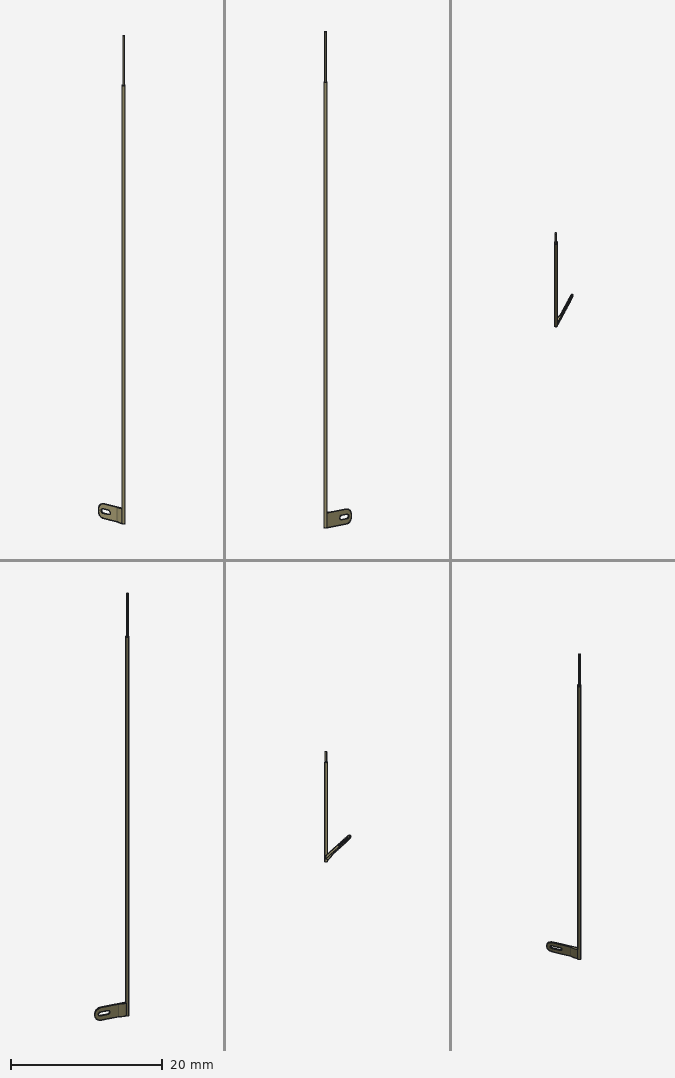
import cadquery as cq
import math

total_height = 67.0
rod_diameter = 0.42
rod_height = 60.15
tip_diameter = 0.255
tip_offset = 0.04
overall_width = 4.7
tab_height = 2.0
tab_corner_radius = 0.9
tab_back_y = 0.2
tab_front_y = 0.03
neck_length = 1.0
neck_front_y = -0.12
slot_length = 1.6
slot_height = 0.6
slot_end_margin = 0.5

rod_radius = rod_diameter / 2
tab_left = rod_radius - overall_width
neck_left = -rod_radius - neck_length
slot_center_x = tab_left + slot_end_margin + slot_length / 2


def make_rod():
    """Round rod with a thinner round tip set slightly towards +X."""
    shank = cq.Workplane("XY").circle(rod_radius).extrude(rod_height)
    tip = (
        cq.Workplane("XY", origin=(tip_offset, 0, rod_height))
        .circle(tip_diameter / 2)
        .extrude(total_height - rod_height)
    )
    return shank.union(tip)


def make_tab(rod):
    """Flat slotted tab whose neck swells in a curve towards -Y to meet the rod."""
    rise = tab_front_y - neck_front_y
    arc_radius = (neck_length**2 + rise**2) / (2 * rise)
    half_angle = math.atan(rise / neck_length)
    arc_middle = (
        -rod_radius - arc_radius * math.sin(half_angle),
        neck_front_y + arc_radius * (1 - math.cos(half_angle)),
    )
    plate = (
        cq.Workplane("XY")
        .moveTo(tab_left, tab_back_y)
        .lineTo(tab_left, tab_front_y)
        .lineTo(neck_left, tab_front_y)
        .threePointArc(arc_middle, (-rod_radius, neck_front_y))
        .lineTo(0, neck_front_y)
        .lineTo(0, tab_back_y)
        .close()
        .extrude(tab_height)
        .edges("|Y and <X")
        .fillet(tab_corner_radius)
    )
    slot = (
        cq.Workplane("XZ")
        .center(slot_center_x, tab_height / 2)
        .slot2D(slot_length, slot_height)
        .extrude(rod_diameter, both=True)
    )
    return plate.cut(slot).cut(rod)


rod = make_rod()
tab = make_tab(rod)
result = cq.Compound.makeCompound([rod.val(), tab.val()])